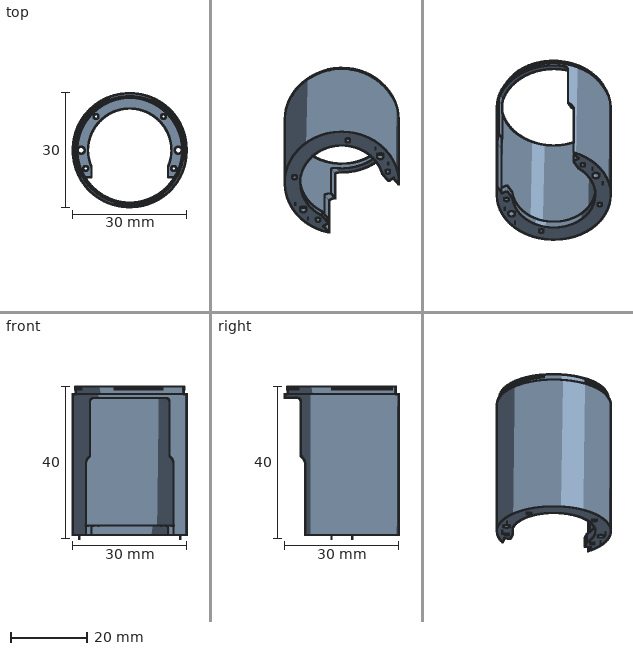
import cadquery as cq
import math

body_radius = 15.0
bore_radius = 13.75
shoulder_height = 37.0
top_height = 39.0
lip_radius = 14.2
bore_chamfer = 0.2

tab_radius = 14.4
tab_crest_radius = 14.3
tab_bottom = 38.15
tab_edge = 38.75
tab_spans = [(-10, 66), (112.5, 207.5), (253.7, 306.5)]

narrow_half_width = 10.45
wide_half_width = 11.5
window_top = 36
window_corner_radius = 1.0
step_bottom = 18.6
step_radius = 2.6

flange_height = 2.5
flange_inner_radius = 10.9
flange_half_gap = 10
flange_end_y = -7.15
flange_corner_radius = 0.3

large_hole_diameter = 1.8
large_hole_x = 12.75
small_hole_diameter = 1.25
small_hole_places = [(8.85, 8.85), (11.55, -4.8)]

pin_x = 13.3
pin_y = 2.7
pin_diameter = 0.1
pin_length = 1.0


def cylinder(radius, bottom, top):
    return cq.Workplane("XY").workplane(offset=bottom).circle(radius).extrude(top - bottom)


def make_tube():
    outside = cylinder(body_radius, 0, shoulder_height)
    lip = cylinder(lip_radius, 0, top_height)
    return outside.union(lip).cut(cylinder(bore_radius, 0, top_height))


def make_bore_chamfer():
    """Cone that breaks the inner edge of the top rim."""
    top_radius = bore_radius + bore_chamfer
    base = cq.Vector(0, 0, top_height - bore_chamfer)
    cone = cq.Solid.makeCone(bore_radius, top_radius, bore_chamfer, base)
    return cq.Workplane(cone)


def make_tab(start, end):
    """Revolve the tab section, with its tapered crest, through the tab's span."""
    section = (
        cq.Workplane("XZ")
        .moveTo(bore_radius, tab_bottom)
        .lineTo(tab_radius, tab_bottom)
        .lineTo(tab_radius, tab_edge)
        .lineTo(tab_crest_radius, top_height)
        .lineTo(bore_radius, top_height)
        .close()
    )
    sweep = section.revolve(end - start, (0, 0, 0), (0, -1, 0))
    return sweep.rotate((0, 0, 0), (0, 0, 1), end)


def make_window():
    """Cut the window straight through the -Y side of the wall."""
    step_rise_angle = math.acos(1 - (wide_half_width - narrow_half_width) / step_radius)
    step_top = step_bottom + step_radius * math.sin(step_rise_angle)
    middle_angle = step_rise_angle / 2
    step_middle = (
        wide_half_width - step_radius * (1 - math.cos(middle_angle)),
        step_bottom + step_radius * math.sin(middle_angle),
    )
    narrow = (
        cq.Workplane("XZ")
        .rect(2 * narrow_half_width, 2 * window_top)
        .extrude(body_radius)
        .edges("|Y")
        .fillet(window_corner_radius)
    )
    wide = (
        cq.Workplane("XZ")
        .moveTo(-wide_half_width, 0)
        .lineTo(wide_half_width, 0)
        .lineTo(wide_half_width, step_bottom)
        .threePointArc(step_middle, (narrow_half_width, step_top))
        .lineTo(-narrow_half_width, step_top)
        .threePointArc((-step_middle[0], step_middle[1]), (-wide_half_width, step_bottom))
        .close()
        .extrude(body_radius)
    )
    return narrow.union(wide)


def make_front_block(half_width, back_y):
    """Block of flange height reaching from back_y toward -Y."""
    block = cq.Workplane("XY").center(0, back_y - body_radius).rect(2 * half_width, 2 * body_radius)
    return block.extrude(flange_height)


def make_flange():
    outer_radius = (bore_radius + body_radius) / 2
    gap_back = -math.sqrt(flange_inner_radius**2 - flange_half_gap**2)
    disc = cylinder(outer_radius, 0, flange_height)
    opening = cylinder(flange_inner_radius, 0, flange_height)
    gap = make_front_block(flange_half_gap, gap_back)
    front = make_front_block(body_radius, flange_end_y)
    flange = disc.cut(opening).cut(gap).cut(front)
    reach = flange_corner_radius
    inner_corners = cq.selectors.BoxSelector(
        (-flange_half_gap - reach, flange_end_y - reach, 0),
        (flange_half_gap + reach, flange_end_y + reach, flange_height),
    )
    return flange.edges("|Z").edges(inner_corners).fillet(flange_corner_radius)


def make_flange_holes():
    small_places = [(side * x, y) for x, y in small_hole_places for side in (-1, 1)]
    large_places = [(-large_hole_x, 0), (large_hole_x, 0)]
    small = cq.Workplane("XY").pushPoints(small_places).circle(small_hole_diameter / 2)
    large = cq.Workplane("XY").pushPoints(large_places).circle(large_hole_diameter / 2)
    return small.extrude(flange_height).union(large.extrude(flange_height))


def make_pins():
    places = [(x, y) for x in (-pin_x, pin_x) for y in (-pin_y, pin_y)]
    pins = cq.Workplane("XY").workplane(offset=-pin_length).pushPoints(places)
    return pins.circle(pin_diameter / 2).extrude(pin_length + flange_height / 2)


result = make_tube()
for tab_start, tab_end in tab_spans:
    result = result.union(make_tab(tab_start, tab_end))
result = result.cut(make_bore_chamfer())
result = result.cut(make_window())
result = result.union(make_flange())
result = result.cut(make_flange_holes())
result = result.union(make_pins())